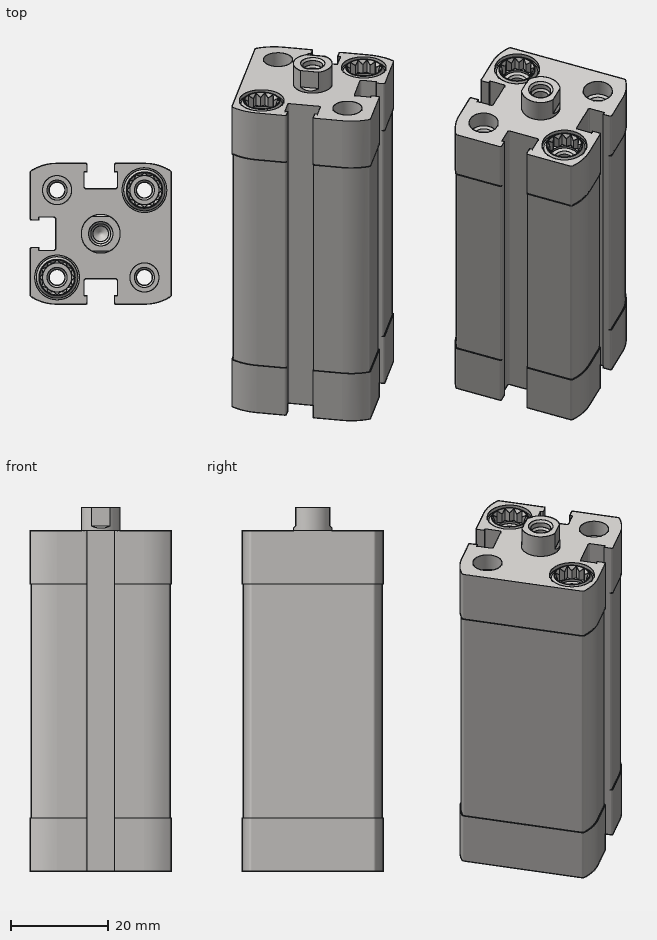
import cadquery as cq
import math

TOTAL_HEIGHT = 74.7
WIDTH = 29.0
ROD_REACH = 4.8
HOUSING_HEIGHT = TOTAL_HEIGHT - ROD_REACH

CAP_HEIGHT = 11.0
BOLT_OFFSET = 9.0
CORNER_RADIUS = 10.0
EDGE_ROUND = 0.6
TUBE_INSET = 0.2

SLOT_OPENING = 5.6
SLOT_WIDTH = 6.8
SLOT_LIP = 1.8
SLOT_DEPTH = 5.2
SLOT_ROUND = 0.4
LIP_ROUND = 0.3
SLOT_ANGLES = (90, 180, 270)

COUNTERBORE_DIAMETER = 6.0
COUNTERBORE_DEPTH = 3.5
BOLT_CHAMFER_DIAMETER = 4.1
BOLT_HOLE_DIAMETER = 3.2

RECESS_DIAMETER = 9.2
COLLAR_BASE_DIAMETER = 8.5
COLLAR_CREST_DIAMETER = 7.5
COLLAR_CREST_DEPTH = 0.1
COLLAR_BEVEL_ANGLE = 55
SOCKET_DIAMETER = 7.2
SPLINE_POINTS = 12
SPLINE_DEPTH = 3.0

ROD_DIAMETER = 8.0
FLATS_WIDTH = 7.0
FLATS_LENGTH = 3.8
FLAT_OVERCUT = 0.75
ROD_DEPTH_IN_HOUSING = CAP_HEIGHT
COUNTERSINK_DIAMETER = 5.0
ROD_BORE_DIAMETER = 4.1
ROD_BORE_DEPTH = 1.5
ROD_DRILL_DIAMETER = 3.2
ROD_DRILL_DEPTH = 9.0
DRILL_POINT_ANGLE = 118


def revolve_profile(points):
    """Solid of revolution about Z from (radius, height) points."""
    return cq.Workplane("XZ").polyline(points).close().revolve(360, (0, 0, 0), (0, 1, 0))


def housing_block(inset, bottom, height):
    """Square block with arced corners, its outline drawn in by the inset."""
    half = WIDTH / 2 - inset
    arc_centre = WIDTH / 2 - CORNER_RADIUS - inset
    angle_end = math.acos((half - BOLT_OFFSET) / CORNER_RADIUS)
    angle_mid = (angle_end + math.pi / 2) / 2
    side = arc_centre + CORNER_RADIUS * math.sin(angle_end)
    mid_x = BOLT_OFFSET + CORNER_RADIUS * math.cos(angle_mid)
    mid_y = arc_centre + CORNER_RADIUS * math.sin(angle_mid)
    return (
        cq.Workplane("XY", origin=(0, 0, bottom))
        .moveTo(-BOLT_OFFSET, half)
        .lineTo(BOLT_OFFSET, half)
        .threePointArc((mid_x, mid_y), (half, side))
        .lineTo(half, -side)
        .threePointArc((mid_x, -mid_y), (BOLT_OFFSET, -half))
        .lineTo(-BOLT_OFFSET, -half)
        .threePointArc((-mid_x, -mid_y), (-half, -side))
        .lineTo(-half, side)
        .threePointArc((-mid_x, mid_y), (-BOLT_OFFSET, half))
        .close()
        .extrude(height)
        .edges("|Z and (<X or >X)")
        .fillet(EDGE_ROUND)
    )


def sensor_slot(inset, bottom, height):
    """T-shaped slot on the +X side of a block, its mouth flared by the rounded lip edges."""
    face = WIDTH / 2 - inset
    floor = WIDTH / 2 - SLOT_DEPTH
    lip_inside = WIDTH / 2 - SLOT_LIP
    half_opening = SLOT_OPENING / 2
    arc_sag = LIP_ROUND * (1 - math.sqrt(0.5))
    mouth_corner = half_opening + LIP_ROUND
    arc_mid_x = face - arc_sag
    arc_mid_y = half_opening + arc_sag
    opening = (
        cq.Workplane("XY", origin=(0, 0, bottom))
        .moveTo(floor, half_opening)
        .lineTo(face - LIP_ROUND, half_opening)
        .threePointArc((arc_mid_x, arc_mid_y), (face, mouth_corner))
        .lineTo(face, -mouth_corner)
        .threePointArc((arc_mid_x, -arc_mid_y), (face - LIP_ROUND, -half_opening))
        .lineTo(floor, -half_opening)
        .close()
        .extrude(height)
    )
    wide_part = (
        cq.Workplane("XY", origin=(floor, 0, bottom))
        .box(lip_inside - floor, SLOT_WIDTH, height, centered=(False, True, False))
        .edges("|Z and <X")
        .fillet(SLOT_ROUND)
    )
    return opening.union(wide_part)


def housing_section(inset, bottom, height):
    """One slotted length of the housing: an end cap, or the inset tube."""
    section = housing_block(inset, bottom, height)
    slot = sensor_slot(inset, bottom, height)
    for angle in SLOT_ANGLES:
        section = section.cut(slot.rotate((0, 0, 0), (0, 0, 1), angle))
    return section


def bolt_hole():
    """Counterbored through hole with a chamfered entry, its mouth at Z = 0."""
    chamfer = (BOLT_CHAMFER_DIAMETER - BOLT_HOLE_DIAMETER) / 2
    return revolve_profile(
        [
            (0, 0),
            (COUNTERBORE_DIAMETER / 2, 0),
            (COUNTERBORE_DIAMETER / 2, -COUNTERBORE_DEPTH),
            (BOLT_CHAMFER_DIAMETER / 2, -COUNTERBORE_DEPTH),
            (BOLT_HOLE_DIAMETER / 2, -COUNTERBORE_DEPTH - chamfer),
            (BOLT_HOLE_DIAMETER / 2, -HOUSING_HEIGHT),
            (0, -HOUSING_HEIGHT),
        ]
    )


def spline_socket():
    """Recess around a bevelled collar with a twelve-pointed socket, its mouth at Z = 0."""
    crest = COLLAR_CREST_DIAMETER / 2
    socket = SOCKET_DIAMETER / 2
    base = COLLAR_BASE_DIAMETER / 2
    recess = RECESS_DIAMETER / 2
    tip = COUNTERBORE_DIAMETER / 2
    steepness = math.tan(math.radians(COLLAR_BEVEL_ANGLE))
    recess_depth = COLLAR_CREST_DEPTH + (base - crest) * steepness
    lead_in = (socket - tip) * steepness
    mouth = revolve_profile(
        [
            (0, 0),
            (recess, 0),
            (recess, -recess_depth),
            (base, -recess_depth),
            (crest, -COLLAR_CREST_DEPTH),
            (socket, -COLLAR_CREST_DEPTH),
            (tip, -COLLAR_CREST_DEPTH - lead_in),
            (0, -COLLAR_CREST_DEPTH - lead_in),
        ]
    )
    star = []
    for i in range(2 * SPLINE_POINTS):
        radius = socket if i % 2 == 0 else tip
        angle = math.pi * i / SPLINE_POINTS
        star.append((radius * math.cos(angle), radius * math.sin(angle)))
    spline_height = SPLINE_DEPTH - COLLAR_CREST_DEPTH
    spline = (
        cq.Workplane("XY", origin=(0, 0, -SPLINE_DEPTH)).polyline(star).close().extrude(spline_height)
    )
    return mouth.union(spline)


def make_housing():
    """Profiled tube between two slightly larger end caps, bored for the rod."""
    top_cap_bottom = HOUSING_HEIGHT - CAP_HEIGHT
    housing = housing_section(0, 0, CAP_HEIGHT)
    housing = housing.union(housing_section(TUBE_INSET, CAP_HEIGHT, top_cap_bottom - CAP_HEIGHT))
    housing = housing.union(housing_section(0, top_cap_bottom, CAP_HEIGHT))
    for x in (-BOLT_OFFSET, BOLT_OFFSET):
        for y in (-BOLT_OFFSET, BOLT_OFFSET):
            place = (x, y, HOUSING_HEIGHT)
            housing = housing.cut(bolt_hole().translate(place))
            if x == y:
                housing = housing.cut(spline_socket().translate(place))
    rod_bore = (
        cq.Workplane("XY", origin=(0, 0, HOUSING_HEIGHT - ROD_DEPTH_IN_HOUSING))
        .circle(ROD_DIAMETER / 2)
        .extrude(ROD_DEPTH_IN_HOUSING)
    )
    return housing.cut(rod_bore)


def wrench_flat():
    """Cutter for the flat on the +Y side, ending in a 45 degree run-out."""
    flat = FLATS_WIDTH / 2
    outside = ROD_DIAMETER / 2 + FLAT_OVERCUT
    bottom = TOTAL_HEIGHT - FLATS_LENGTH
    return (
        cq.Workplane("YZ")
        .moveTo(flat, TOTAL_HEIGHT)
        .lineTo(flat, bottom)
        .lineTo(outside, bottom - (outside - flat))
        .lineTo(outside, TOTAL_HEIGHT)
        .close()
        .extrude(ROD_DIAMETER / 2, both=True)
    )


def rod_end_hole():
    """Countersunk, stepped and drilled hole in the rod end, its mouth at Z = 0."""
    mouth = COUNTERSINK_DIAMETER / 2
    bore = ROD_BORE_DIAMETER / 2
    drill = ROD_DRILL_DIAMETER / 2
    point = drill / math.tan(math.radians(DRILL_POINT_ANGLE / 2))
    return revolve_profile(
        [
            (0, 0),
            (mouth, 0),
            (bore, bore - mouth),
            (bore, -ROD_BORE_DEPTH),
            (drill, -ROD_BORE_DEPTH - (bore - drill)),
            (drill, -ROD_DRILL_DEPTH),
            (0, -ROD_DRILL_DEPTH - point),
        ]
    )


def make_rod():
    """Round rod with two wrench flats and a hole in its end."""
    rod = (
        cq.Workplane("XY", origin=(0, 0, HOUSING_HEIGHT - ROD_DEPTH_IN_HOUSING))
        .circle(ROD_DIAMETER / 2)
        .extrude(ROD_DEPTH_IN_HOUSING + ROD_REACH)
    )
    for angle in (0, 180):
        rod = rod.cut(wrench_flat().rotate((0, 0, 0), (0, 0, 1), angle))
    return rod.cut(rod_end_hole().translate((0, 0, TOTAL_HEIGHT)))


housing = make_housing()
rod = make_rod()
result = cq.Compound.makeCompound([housing.val(), rod.val()])